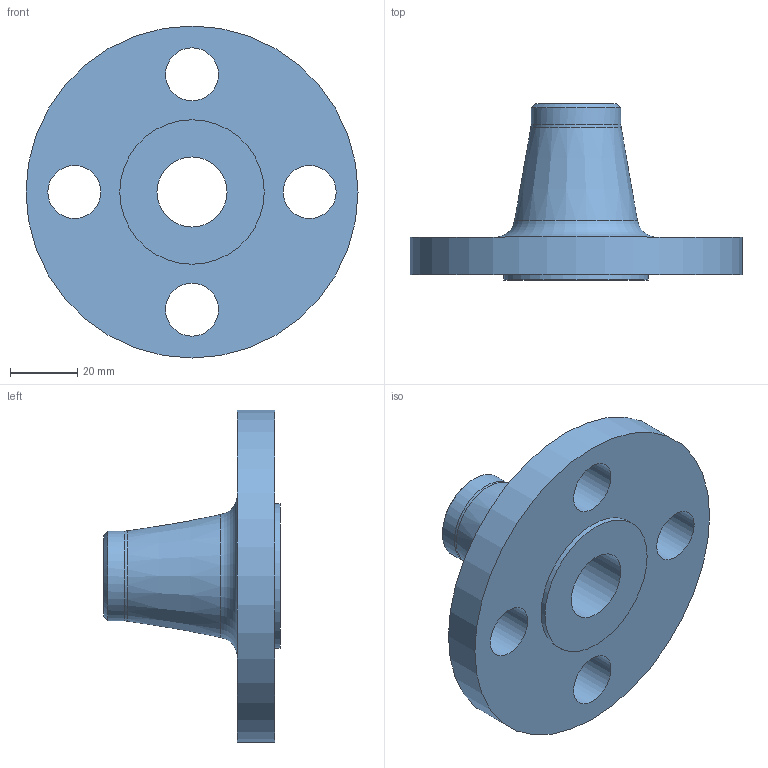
import math

import cadquery as cq

FLANGE_DIAMETER = 98.6
RAISED_FACE_DIAMETER = 42.9
RAISED_FACE_HEIGHT = 1.6
FLANGE_BACK = 12.7
OVERALL_LENGTH = 52.3

BORE_DIAMETER = 20.8

BOLT_CIRCLE_DIAMETER = 69.9
BOLT_HOLE_DIAMETER = 15.7
BOLT_HOLE_COUNT = 4

PIPE_DIAMETER = 26.7
PIPE_STUB_LENGTH = 6.6
CONE_HALF_ANGLE = 9.9
ROOT_FILLET_RADIUS = 6.0
NECK_BLEND_RADIUS = 5.0
WELD_BEVEL_LENGTH = 1.1
WELD_BEVEL_DEPTH = 1.4

pipe_radius = PIPE_DIAMETER / 2
cone_end = OVERALL_LENGTH - PIPE_STUB_LENGTH
cone_base_radius = pipe_radius + (cone_end - FLANGE_BACK) * math.tan(math.radians(CONE_HALF_ANGLE))


def circle_selector(radius, y):
    """Selects the circular edge of the given radius lying in the plane at the given Y."""
    margin = 0.1
    return cq.selectors.BoxSelector(
        (-radius - margin, y - margin, -radius - margin),
        (radius + margin, y + margin, radius + margin),
        boundingbox=True,
    )


def flange_body():
    """Solid of revolution: raised face, flange plate, conical neck and bevelled weld end."""
    flange_radius = FLANGE_DIAMETER / 2
    raised_face_radius = RAISED_FACE_DIAMETER / 2
    profile = (
        cq.Workplane("XY")
        .lineTo(raised_face_radius, 0)
        .lineTo(raised_face_radius, RAISED_FACE_HEIGHT)
        .lineTo(flange_radius, RAISED_FACE_HEIGHT)
        .lineTo(flange_radius, FLANGE_BACK)
        .lineTo(cone_base_radius, FLANGE_BACK)
        .lineTo(pipe_radius, cone_end)
        .lineTo(pipe_radius, OVERALL_LENGTH - WELD_BEVEL_LENGTH)
        .lineTo(pipe_radius - WELD_BEVEL_DEPTH, OVERALL_LENGTH)
        .lineTo(0, OVERALL_LENGTH)
        .close()
    )
    return profile.revolve(360, (0, 0, 0), (0, 1, 0))


def blend_neck(body):
    """Rounds the neck's root on the flange and the bend between cone and cylinder."""
    body = body.edges(circle_selector(cone_base_radius, FLANGE_BACK)).fillet(ROOT_FILLET_RADIUS)
    return body.edges(circle_selector(pipe_radius, cone_end)).fillet(NECK_BLEND_RADIUS)


def axial_cylinder(diameter):
    """Cylinder on the flange axis, as long as the part."""
    return cq.Workplane("XZ").circle(diameter / 2).extrude(-OVERALL_LENGTH)


def bolt_holes():
    """Cutters for the bolt holes, evenly spaced on the bolt circle."""
    return (
        cq.Workplane("XZ")
        .polarArray(BOLT_CIRCLE_DIAMETER / 2, 0, 360, BOLT_HOLE_COUNT)
        .circle(BOLT_HOLE_DIAMETER / 2)
        .extrude(-FLANGE_BACK)
    )


result = blend_neck(flange_body()).cut(axial_cylinder(BORE_DIAMETER)).cut(bolt_holes())